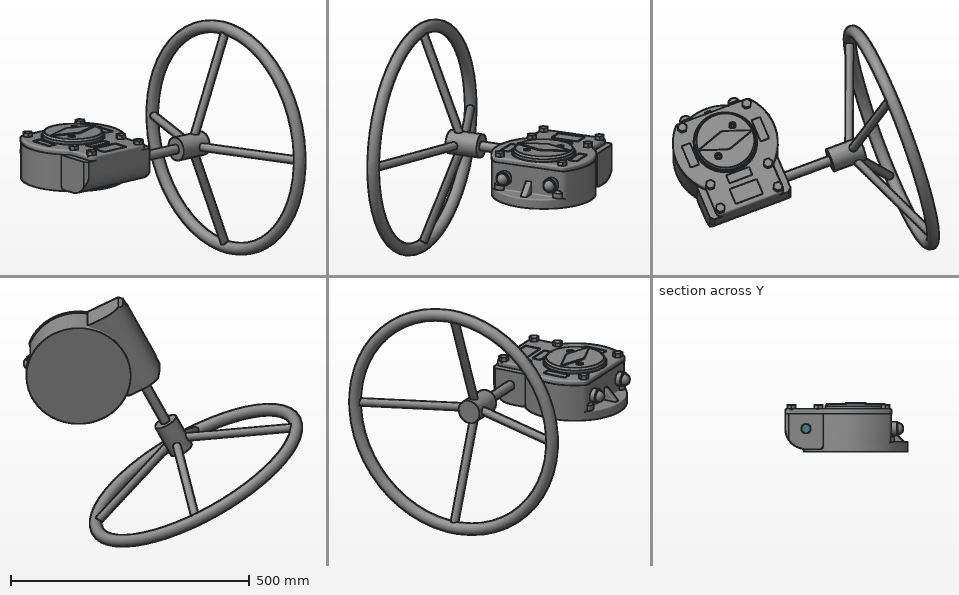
import cadquery as cq
import math

overall_depth = 456.5
wheel_outer_dia = 500.0
rim_dia = 25.5
spoke_dia = 17.0
spoke_count = 4
hub_dia = 50.0
hub_start = 195.0
hub_end = 267.0
shaft_dia = 20.0
spoke_hub_y = 237.5

body_x = -104.5
cover_radius = 110.5
cover_overhang = 1.0
body_radius = cover_radius - cover_overhang
base_z = -48.5
cover_bottom_z = 31.5
cover_top_z = 42.0
cover_wall_offset = 75.0
wall_inset = 0.5
wall_offset = cover_wall_offset - wall_inset
wall_corner_radius = 15.0
ledge_z = -27.5
ledge_edge_radius = 3.0
wall_cove_radius = 3.0

housing_radius = 44.0
housing_half_length = 91.0
housing_left_x = -36.0
housing_bottom_z = -43.0
housing_corner_radius = 7.5
housing_chamfer = 7.5
housing_blend_radius = 2.5
joint_margin = 0.5

cover_half_width = 75.5
cover_corner_radius = 11.0
cover_notch_radius = 5.0
cover_edge_radius = 4.5
label_offset = 79.0
label_length = 51.5
label_width = 19.0
nameplate_offset = 118.5
nameplate_size = (35.5, 61.5)
recess_depth = 1.5
recess_corner_radius = 2.0

disc_radius = 64.0
disc_top_z = 52.0
disc_chamfer_width = 3.5
disc_chamfer_height = 5.0
groove_radius = 67.0
groove_depth = 2.0
pointer_half_length = 61.0
pointer_half_width = 22.0
pointer_side_radius = 16.5
pointer_height = 2.5
screw_offset = 26.5
screw_bore_radius = 7.0
screw_bore_depth = 3.0
screw_socket_radius = 3.5
screw_socket_depth = 6.0

bolt_across_flats = 17.5
bolt_top_z = 50.0
wall_bolt = (-62.0, 72.5)
housing_bolt_y = 65.0
housing_bolt_xs = (78.5, 135.0)

nut_y = 54.5
nut_radius = 15.0
nut_length = 13.0
nut_chamfer = 1.5
dome_radius = 12.5
post_y = 67.5
post_radius = 12.0
post_setback = 5.5
post_top_z = -12.0
post_chamfer = 4.5
rib_size = 27.0
rib_width = 13.0
rib_edge_radius = 2.0

wheel_radius = (wheel_outer_dia - rim_dia) / 2
wheel_y = overall_depth - cover_radius - rim_dia / 2
wall_x = body_x - wall_offset


def cylinder_z(x, radius, z_low, z_high):
    return cq.Workplane("XY", origin=(x, 0, z_low)).circle(radius).extrude(z_high - z_low)


def box(x_range, y_range, z_range):
    lows, highs = zip(x_range, y_range, z_range)
    sizes = [high - low for low, high in zip(lows, highs)]
    return cq.Workplane("XY").box(*sizes, centered=False).translate(lows)


def make_handwheel():
    hub = cq.Workplane("XZ", origin=(0, hub_end, 0)).circle(hub_dia / 2).extrude(hub_end - hub_start)
    shaft = cq.Workplane("XZ", origin=(0, hub_end, 0)).circle(shaft_dia / 2).extrude(hub_end)
    wheel = hub.union(shaft)
    start = cq.Vector(0, spoke_hub_y, 0)
    end = cq.Vector(wheel_radius, wheel_y, 0)
    spoke = cq.Workplane(cq.Plane(start, normal=end - start)).circle(spoke_dia / 2)
    spoke = spoke.extrude((end - start).Length)
    for index in range(spoke_count):
        angle = 360 / spoke_count * index
        wheel = wheel.union(spoke.rotate((0, 0, 0), (0, 1, 0), angle))
    rim_section = cq.Workplane("XY", origin=(0, wheel_y, 0)).center(wheel_radius, 0).circle(rim_dia / 2)
    half_rim = rim_section.revolve(180, (-wheel_radius, 0), (-wheel_radius, -1))
    for half_turn in (0, 180):
        turned = half_rim.rotate((0, 0, 0), (0, 1, 0), half_turn + 180 / spoke_count)
        wheel = wheel.union(turned, clean=False)
    return wheel


def make_housing():
    profile = (
        cq.Workplane("XZ", origin=(0, housing_half_length, 0))
        .moveTo(housing_left_x, cover_bottom_z)
        .lineTo(housing_left_x, housing_bottom_z)
        .lineTo(0, housing_bottom_z)
        .radiusArc((housing_radius, housing_bottom_z + housing_radius), -housing_radius)
        .lineTo(housing_radius, cover_bottom_z)
        .close()
    )
    housing = profile.extrude(2 * housing_half_length)
    corner = cq.selectors.NearestToPointSelector((housing_left_x, 0, housing_bottom_z))
    housing = housing.edges(corner).fillet(housing_corner_radius)
    plan = box(
        (housing_left_x, housing_radius),
        (-housing_half_length, housing_half_length),
        (housing_bottom_z, cover_bottom_z),
    )
    return housing.intersect(plan.edges("|Z and >X").chamfer(housing_chamfer))


def make_body():
    drum = cylinder_z(body_x, body_radius, base_z, cover_bottom_z)
    drum = drum.intersect(
        box((wall_x, housing_radius), (-body_radius, body_radius), (base_z, cover_bottom_z))
    )
    drum = drum.edges("|Z and <X").fillet(wall_corner_radius)
    base = cylinder_z(body_x, body_radius, base_z, ledge_z)
    base = base.faces(">Z").edges().fillet(ledge_edge_radius)
    return base.union(drum).union(make_wall_cove())


def make_wall_cove():
    profile = (
        cq.Workplane("XZ", origin=(wall_x, body_radius, ledge_z))
        .lineTo(-wall_cove_radius, 0)
        .radiusArc((0, wall_cove_radius), -wall_cove_radius)
        .close()
    )
    ledge = cylinder_z(body_x, body_radius - ledge_edge_radius, ledge_z, cover_bottom_z)
    return profile.extrude(2 * body_radius).intersect(ledge)


def blend_housing(part):
    half_length = housing_half_length - joint_margin
    joint = cq.selectors.BoxSelector(
        (housing_left_x - joint_margin, -half_length, housing_bottom_z - joint_margin),
        (body_x + cover_radius, half_length, cover_bottom_z - joint_margin),
    )
    return part.edges(joint).fillet(housing_blend_radius)


def make_cover():
    middle_z = (cover_bottom_z + cover_top_z) / 2
    round_part = cylinder_z(body_x, cover_radius, cover_bottom_z, cover_top_z)
    round_part = round_part.intersect(
        box(
            (body_x - cover_wall_offset, housing_radius),
            (-cover_radius, cover_radius),
            (cover_bottom_z, cover_top_z),
        )
    )
    tongue = box(
        (body_x, housing_radius),
        (-cover_half_width, cover_half_width),
        (cover_bottom_z, cover_top_z),
    )
    cover = round_part.union(tongue)
    cover = cover.edges("|Z").edges("<X or >X").fillet(cover_corner_radius)
    notch_x = body_x + math.sqrt(cover_radius**2 - cover_half_width**2)
    for side in (-1, 1):
        notch = (notch_x, side * cover_half_width, middle_z)
        cover = cover.edges(cq.selectors.NearestToPointSelector(notch)).fillet(cover_notch_radius)
    return cover.faces(">Z").edges().fillet(cover_edge_radius)


def recess(x, y, size_x, size_y):
    pocket = cq.Workplane("XY", origin=(x, y, cover_top_z - recess_depth)).rect(size_x, size_y)
    return pocket.extrude(2 * recess_depth).edges("|Z").fillet(recess_corner_radius)


def cut_cover_recesses(part):
    for side in (-1, 1):
        part = part.cut(recess(body_x, side * label_offset, label_length, label_width))
    part = part.cut(recess(body_x + label_offset, 0, label_width, label_length))
    part = part.cut(recess(body_x + nameplate_offset, 0, *nameplate_size))
    groove = cylinder_z(body_x, groove_radius, cover_top_z - groove_depth, cover_top_z)
    return part.cut(groove)


def make_disc():
    disc = cylinder_z(body_x, disc_radius, cover_bottom_z, disc_top_z)
    disc = disc.faces(">Z").edges().chamfer(disc_chamfer_height, disc_chamfer_width)
    pointer = (
        cq.Workplane("XY", origin=(body_x, 0, disc_top_z))
        .polyline([
            (0, pointer_half_length),
            (pointer_half_width, 0),
            (0, -pointer_half_length),
            (-pointer_half_width, 0),
        ])
        .close()
        .extrude(pointer_height)
        .edges("|Z and (<X or >X)")
        .fillet(pointer_side_radius)
    )
    disc = disc.union(pointer)
    for side in (-1, 1):
        top = cq.Workplane("XY", origin=(body_x - side * screw_offset, side * screw_offset, disc_top_z))
        disc = disc.cut(top.circle(screw_bore_radius).extrude(-screw_bore_depth))
        disc = disc.cut(top.circle(screw_socket_radius).extrude(-screw_socket_depth))
    return disc


def make_bolts():
    places = [wall_bolt] + [(x, housing_bolt_y) for x in housing_bolt_xs]
    corner_dia = bolt_across_flats / math.cos(math.radians(30))
    head = cq.Workplane("XY").polygon(6, corner_dia).extrude(bolt_top_z - cover_bottom_z)
    head = head.rotate((0, 0, 0), (0, 0, 1), 30)
    bolts = cq.Workplane("XY")
    for x, y in places:
        for side in (-1, 1):
            bolts = bolts.add(head.translate((body_x + x, side * y, cover_bottom_z)))
    return bolts.combine()


def make_stop_nut(y):
    plane = cq.Workplane("YZ", origin=(wall_x, y, 0))
    nut = plane.circle(nut_radius).extrude(-nut_length)
    nut = nut.faces("<X").edges().chamfer(nut_chamfer)
    dome = cq.Workplane("XY").sphere(dome_radius).translate((wall_x - nut_length, y, 0))
    return nut.union(dome)


def make_corner_post(side):
    start_z = ledge_z - ledge_edge_radius
    plane = cq.Workplane("XY", origin=(wall_x + post_setback, side * post_y, start_z))
    post = plane.circle(post_radius).extrude(post_top_z - start_z)
    return post.faces(">Z").edges().chamfer(post_chamfer)


def make_rib():
    rib = (
        cq.Workplane("XZ", origin=(wall_x, rib_width / 2, ledge_z))
        .polyline([(0, 0), (-rib_size, 0), (0, rib_size)])
        .close()
        .extrude(rib_width)
    )
    return rib.faces(">(-1, 0, 1)").edges("not |Y").fillet(rib_edge_radius)


body = make_body().union(make_housing())
body = blend_housing(body)
result = body.union(make_cover())
result = cut_cover_recesses(result)
result = result.union(make_disc()).union(make_bolts())
for wall_side in (-1, 1):
    result = result.union(make_stop_nut(wall_side * nut_y))
    result = result.union(make_corner_post(wall_side))
result = result.union(make_rib())
result = result.union(make_handwheel(), clean=False)